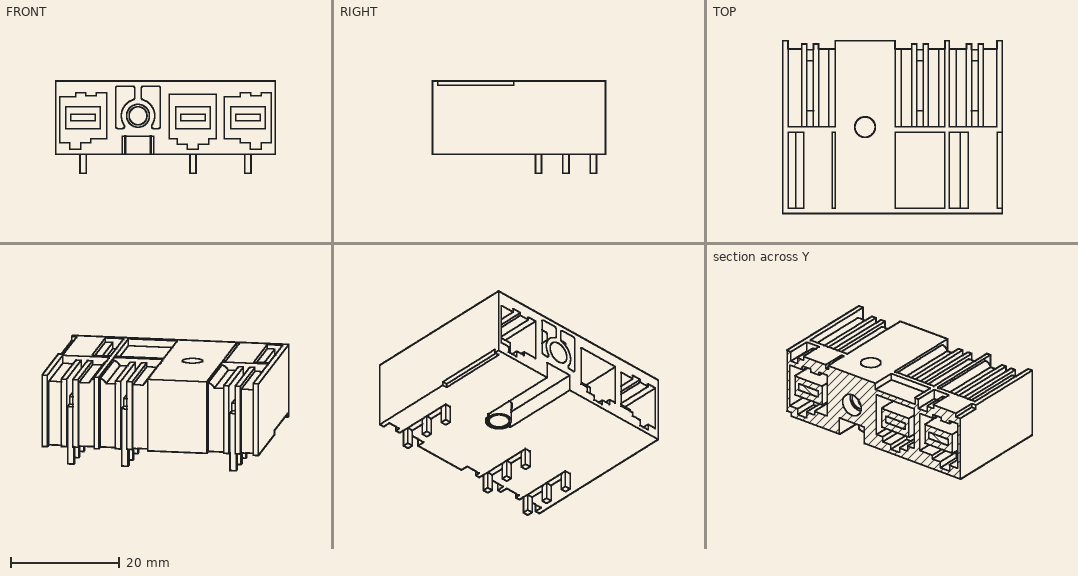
import cadquery as cq

LENGTH = 40.65
DEPTH = 32.0
HEIGHT = 13.6
WALL = 1.0
SKIN_STEP = 0.77

PITCH = LENGTH / 4
LEFT_X = PITCH / 2
MOUNT_X = LEFT_X + PITCH
MIDDLE_X = MOUNT_X + PITCH
RIGHT_X = MIDDLE_X + PITCH
SOCKET_XS = [LEFT_X, MIDDLE_X, RIGHT_X]

BLOCK_LEFT = 9.7
BLOCK_RIGHT = 20.8
PARTITION_LEFT = 30.0
PARTITION_RIGHT = 30.85
BAYS = [
    (WALL, BLOCK_LEFT),
    (BLOCK_RIGHT, PARTITION_LEFT),
    (PARTITION_RIGHT, LENGTH - WALL),
]

SOCKET_END = 15.0
REAR_BAY_FRONT = SOCKET_END + WALL
FLOOR_END = 30.45
RIB_END = 31.37

SOCKET_HALF = 4.35
SOCKET_TOP = 11.4
SOCKET_SHOULDER = 10.65
SOCKET_KEY = 10.8
SOCKET_FLOOR = 2.93
SOCKET_STEP = 2.15
SOCKET_GROOVE = 0.95
TOP_STEP_X = -1.4
TOP_KEY_LEFT = 0.5
TOP_KEY_RIGHT = 2.48
GROOVE_NEAR = 0.45
GROOVE_FAR = 2.48
FLOOR_STEP_X = 1.42
MIDDLE_TOP = 11.18
MIDDLE_STEP = 1.85
MIDDLE_STEP_HALF = 2.9
MIDDLE_GROOVE_HALF = 1.0

TONGUE_WIDTH = 6.42
TONGUE_HEIGHT = 4.02
TONGUE_FRONT = 5.55
CONTACT_Z = HEIGHT / 2
BLADE_WIDTH = 4.47
STOCK = 1.18
LEG_LENGTH = 3.5
LEG_PITCH = PITCH / 2
FIRST_LEG_Y = 19.6
LEG_COUNT = 3
PLATE_FRONT = FIRST_LEG_Y - STOCK / 2
PLATE_BACK = FIRST_LEG_Y + (LEG_COUNT - 1) * LEG_PITCH + STOCK / 2
PLATE_STEP_Y = 28.25
PLATE_TOP = CONTACT_Z + TONGUE_HEIGHT / 2
PLATE_STEP_Z = CONTACT_Z + STOCK / 2

FLOOR_Z = 12.1
RIB_TOP = HEIGHT - SKIN_STEP
RIB_THICKNESS = 0.98
BEAD_RADIUS = 1.8
BEAD_Z = 11.35
BEAD_XS = [PITCH, 2 * PITCH, 3 * PITCH]

DEEP_POCKET = 1.95
MIDDLE_POCKET = 1.3
LEFT_DEEP_END = 2.48
LEFT_SHELF_END = 3.9
RIGHT_DEEP_END = 32.88
RIGHT_SHELF_END = 34.3
SLIT_WIDTH = 0.53
EDGE_RECESS = 0.98

MOUNT_Y = DEPTH / 2
MOUNT_HOLE_RADIUS = 1.85
BUSHING_RADIUS = 2.25
BUSHING_CAVITY_RADIUS = 2.48
NOTCH_WIDTH = 5.77
NOTCH_HEIGHT = 3.4
BUSHING_HEIGHT = HEIGHT - NOTCH_HEIGHT
BORE_Z = 7.15
BORE_RADIUS = 2.1
BORE_DEPTH = MOUNT_Y - BUSHING_CAVITY_RADIUS - WALL
BORE_NECK_RADIUS = 1.65
RELIEF_HALF = 4.15
RELIEF_BOTTOM = 4.8
RELIEF_TOP = 12.65
RELIEF_DEPTH = 2.4
RELIEF_CORNER = 0.4
WEB_HALF = 0.6
TUBE_RADIUS = 3.1


def block(x_range, y_range, z_range):
    """Axis-aligned box given by its limits along X, Y and Z."""
    limits = (x_range, y_range, z_range)
    sizes = [high - low for low, high in limits]
    corner = [low for low, high in limits]
    return cq.Workplane("XY").box(*sizes, centered=False).translate(tuple(corner))


def centred(middle, width):
    """Limits of a span of the given width about its middle."""
    return (middle - width / 2, middle + width / 2)


def along_y(plane_y=0.0):
    """XZ workplane at the given Y; a negative extrusion runs toward +Y."""
    return cq.Workplane("XZ", origin=(0, plane_y, 0))


def rod_along_y(x, z, radius, y_range):
    start, end = y_range
    return along_y(start).center(x, z).circle(radius).extrude(start - end)


def rod_along_z(radius, z_range):
    low, high = z_range
    plane = cq.Workplane("XY", origin=(MOUNT_X, MOUNT_Y, low))
    return plane.circle(radius).extrude(high - low)


def keyed_outline(groove_side):
    """End-socket outline; groove_side is -1 or +1 for a floor groove left or right of centre."""
    top = [
        (-SOCKET_HALF, SOCKET_SHOULDER),
        (TOP_STEP_X, SOCKET_SHOULDER),
        (TOP_STEP_X, SOCKET_TOP),
        (TOP_KEY_LEFT, SOCKET_TOP),
        (TOP_KEY_LEFT, SOCKET_KEY),
        (TOP_KEY_RIGHT, SOCKET_KEY),
        (TOP_KEY_RIGHT, SOCKET_TOP),
        (SOCKET_HALF, SOCKET_TOP),
    ]
    floor = [
        (SOCKET_HALF, SOCKET_FLOOR),
        (FLOOR_STEP_X, SOCKET_FLOOR),
        (FLOOR_STEP_X, SOCKET_STEP),
        (-GROOVE_NEAR, SOCKET_STEP),
        (-GROOVE_NEAR, SOCKET_GROOVE),
        (-GROOVE_FAR, SOCKET_GROOVE),
        (-GROOVE_FAR, SOCKET_STEP),
        (-SOCKET_HALF, SOCKET_STEP),
    ]
    if groove_side > 0:
        floor = [(-x, z) for x, z in reversed(floor)]
    return top + floor


def stepped_outline():
    """Middle-socket outline, symmetric about its centre."""
    right = [
        (SOCKET_HALF, MIDDLE_TOP),
        (SOCKET_HALF, SOCKET_FLOOR),
        (MIDDLE_STEP_HALF, SOCKET_FLOOR),
        (MIDDLE_STEP_HALF, MIDDLE_STEP),
        (MIDDLE_GROOVE_HALF, MIDDLE_STEP),
        (MIDDLE_GROOVE_HALF, SOCKET_GROOVE),
    ]
    return right + [(-x, z) for x, z in reversed(right)]


def socket_cavity(x, outline):
    """Plug cavity that leaves the insulating tongue standing on its end wall."""
    cavity = along_y().center(x, 0).polyline(outline).close().extrude(-SOCKET_END)
    tongue = block(
        centred(x, TONGUE_WIDTH),
        (TONGUE_FRONT, SOCKET_END),
        centred(CONTACT_Z, TONGUE_HEIGHT),
    )
    return cavity.cut(tongue)


def top_pockets():
    """Shallow and deep pockets that thin the skin over the sockets."""
    pockets = [
        (WALL, LEFT_DEEP_END, DEEP_POCKET),
        (LEFT_DEEP_END, LEFT_SHELF_END, SKIN_STEP),
        (BLOCK_LEFT - SLIT_WIDTH, BLOCK_LEFT, SKIN_STEP),
        (BLOCK_RIGHT, PARTITION_LEFT, MIDDLE_POCKET),
        (PARTITION_RIGHT, RIGHT_DEEP_END, DEEP_POCKET),
        (RIGHT_DEEP_END, RIGHT_SHELF_END, SKIN_STEP),
        (LENGTH - EDGE_RECESS, LENGTH, SKIN_STEP),
    ]
    return [
        block((left, right), (WALL, SOCKET_END), (HEIGHT - depth, HEIGHT))
        for left, right, depth in pockets
    ]


def bottom_edge_recess():
    return block((0, EDGE_RECESS), (WALL, SOCKET_END), (0, SKIN_STEP))


def rear_bay_space(bay):
    """Open space of one rear bay: above its floor and behind its rear face."""
    above = block(bay, (REAR_BAY_FRONT, DEPTH), (FLOOR_Z, HEIGHT))
    behind = block(bay, (FLOOR_END, DEPTH), (0, HEIGHT))
    return above.union(behind)


def contact_ribs(x):
    """Two ribs beside a contact plate, solid between until the contact slot is cut."""
    pair_width = STOCK + 2 * RIB_THICKNESS
    return block(centred(x, pair_width), (REAR_BAY_FRONT, RIB_END), (0, RIB_TOP))


def contact_slot(x):
    """Passage for one contact: blade slot, then a plate slot open at the top and the rear."""
    blade = block(
        centred(x, BLADE_WIDTH), (TONGUE_FRONT, PLATE_FRONT), centred(CONTACT_Z, STOCK)
    )
    over_blade = block(
        centred(x, STOCK), (REAR_BAY_FRONT, PLATE_FRONT), (CONTACT_Z, HEIGHT)
    )
    plate = block(centred(x, STOCK), (PLATE_FRONT, DEPTH), (0, HEIGHT))
    return blade.union(over_blade).union(plate)


def bore_reliefs():
    """Two pockets in the front face around the bore tube and the web above it."""
    reliefs = block(
        centred(MOUNT_X, 2 * RELIEF_HALF), (0, RELIEF_DEPTH), (RELIEF_BOTTOM, RELIEF_TOP)
    )
    web = block(centred(MOUNT_X, 2 * WEB_HALF), (0, RELIEF_DEPTH), (0, HEIGHT))
    tube = rod_along_y(MOUNT_X, BORE_Z, TUBE_RADIUS, (0, RELIEF_DEPTH))
    return reliefs.cut(web).cut(tube).edges("|Y").fillet(RELIEF_CORNER)


def mounting_cuts():
    """Bushing cavity with its screw hole, front notch and stepped front bore."""
    return [
        rod_along_z(MOUNT_HOLE_RADIUS, (0, HEIGHT)),
        rod_along_z(BUSHING_CAVITY_RADIUS, (0, BUSHING_HEIGHT)),
        block(centred(MOUNT_X, NOTCH_WIDTH), (0, MOUNT_Y), (0, NOTCH_HEIGHT)),
        rod_along_y(MOUNT_X, BORE_Z, BORE_RADIUS, (0, BORE_DEPTH)),
        rod_along_y(MOUNT_X, BORE_Z, BORE_NECK_RADIUS, (0, MOUNT_Y)),
        bore_reliefs(),
    ]


def make_housing():
    body = block((0, LENGTH), (0, DEPTH), (0, HEIGHT))
    for bay in BAYS:
        body = body.cut(rear_bay_space(bay))
    for x in BEAD_XS:
        body = body.union(rod_along_y(x, BEAD_Z, BEAD_RADIUS, (REAR_BAY_FRONT, FLOOR_END)))
    for x in SOCKET_XS:
        body = body.union(contact_ribs(x))
    cuts = [
        socket_cavity(LEFT_X, keyed_outline(-1)),
        socket_cavity(MIDDLE_X, stepped_outline()),
        socket_cavity(RIGHT_X, keyed_outline(1)),
        bottom_edge_recess(),
    ]
    cuts += top_pockets()
    cuts += mounting_cuts()
    cuts += [contact_slot(x) for x in SOCKET_XS]
    for cut in cuts:
        body = body.cut(cut)
    return body


def make_contact(x):
    """Flat blade on an upright plate with three solder legs."""
    blade = block(
        centred(x, BLADE_WIDTH), (TONGUE_FRONT, PLATE_FRONT), centred(CONTACT_Z, STOCK)
    )
    plate = block(centred(x, STOCK), (PLATE_FRONT, PLATE_STEP_Y), (0, PLATE_TOP))
    heel = block(centred(x, STOCK), (PLATE_STEP_Y, PLATE_BACK), (0, PLATE_STEP_Z))
    contact = blade.union(plate).union(heel)
    for index in range(LEG_COUNT):
        leg_y = FIRST_LEG_Y + index * LEG_PITCH
        leg = block(centred(x, STOCK), centred(leg_y, STOCK), (-LEG_LENGTH, 0))
        contact = contact.union(leg)
    return contact


def make_bushing():
    """Tube around the mounting screw, flush with the underside and butting the cavity roof."""
    outside = rod_along_z(BUSHING_RADIUS, (0, BUSHING_HEIGHT))
    return outside.cut(rod_along_z(MOUNT_HOLE_RADIUS, (0, BUSHING_HEIGHT)))


housing = make_housing()
contacts = [make_contact(x) for x in SOCKET_XS]
bushing = make_bushing()

bodies = [housing, *contacts, bushing]
result = cq.Compound.makeCompound([body.solids().val() for body in bodies])